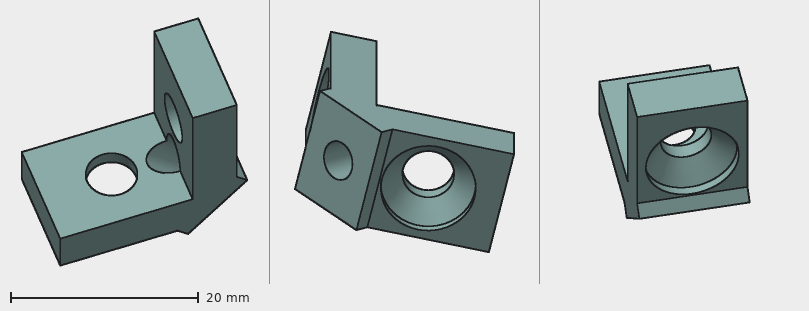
import cadquery as cq
import math

width = 12.0
leg_length = 15.0
leg_thickness = 5.0

plate_length = 9.5
plate_thickness = 4.0
plate_tilt = 45.0

screw_hole_diameter = 5.5
screw_head_diameter = 10.1
screw_hole_distance = 7.0
head_recess_depth = 1.0
countersink_angle = 90.0

corner_hole_diameter = 4.2

screw_hole_radius = screw_hole_diameter / 2
screw_head_radius = screw_head_diameter / 2
cone_height = (screw_head_radius - screw_hole_radius) / math.tan(math.radians(countersink_angle / 2))
cone_start_depth = leg_thickness - head_recess_depth - cone_height


def upright_leg():
    """Leg rising from the corner, with its inner face on the plane Y = 0."""
    return cq.Workplane("XY").box(width, leg_thickness, leg_length, centered=(True, False, False))


def level_leg():
    """Leg running toward -Y from the corner, with its top on the plane Z = 0."""
    leg = cq.Workplane("XY").box(width, leg_length, leg_thickness, centered=(True, False, False))
    return leg.translate((0, -leg_length, -leg_thickness))


def tilt_to_diagonal(body):
    """Turn a body about the X axis so that its -Z direction points to +Y, -Z."""
    return body.rotate((0, 0, 0), (1, 0, 0), plate_tilt)


def joining_plate():
    """Plate behind the corner, square to the diagonal between the legs."""
    plate = cq.Workplane("XY").box(width, plate_length, plate_thickness, centered=(True, True, False))
    return tilt_to_diagonal(plate.translate((0, 0, -plate_thickness)))


def corner_hole_cutter():
    """Cylinder along the diagonal, long enough to clear both legs and the plate."""
    reach = leg_length
    cutter = cq.Workplane("XY", origin=(0, 0, -reach)).circle(corner_hole_diameter / 2).extrude(2 * reach)
    return tilt_to_diagonal(cutter)


def screw_hole_cutter(inner_face):
    """Screw hole with cone and head recess, from a plane whose normal points into the leg."""
    profile = [
        (0, 0),
        (screw_hole_radius, 0),
        (screw_hole_radius, cone_start_depth),
        (screw_head_radius, cone_start_depth + cone_height),
        (screw_head_radius, leg_thickness),
        (0, leg_thickness),
    ]
    cutter = cq.Workplane("XZ").polyline(profile).close().revolve(360, (0, 0), (0, 1))
    return cq.Workplane(cutter.val().moved(cq.Location(inner_face)))


upright_face = cq.Plane(origin=(0, 0, screw_hole_distance), xDir=(1, 0, 0), normal=(0, 1, 0))
level_face = cq.Plane(origin=(0, -screw_hole_distance, 0), xDir=(1, 0, 0), normal=(0, 0, -1))

result = upright_leg().union(level_leg()).union(joining_plate())
result = result.cut(corner_hole_cutter())
for face in (upright_face, level_face):
    result = result.cut(screw_hole_cutter(face))